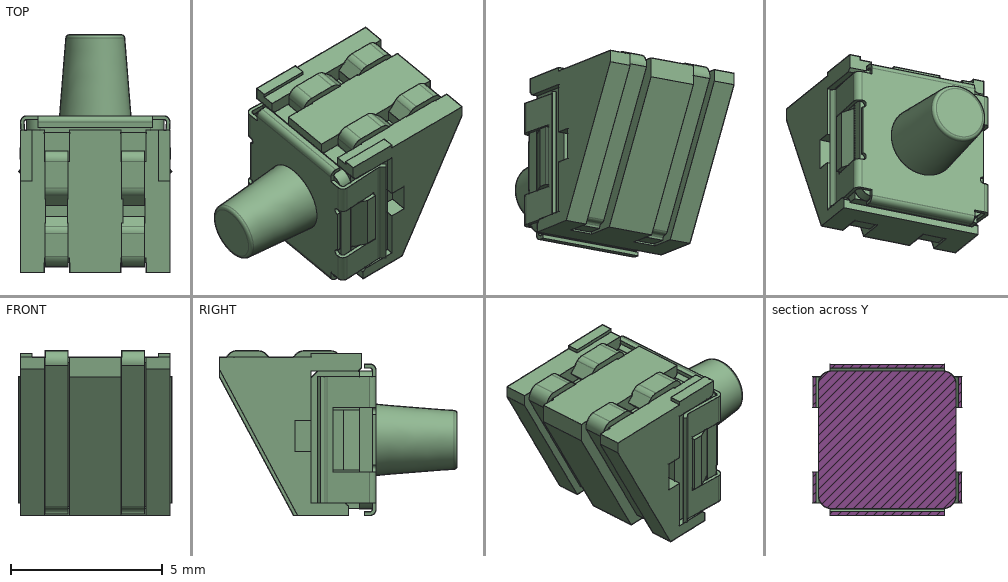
import cadquery as cq
import math


HOLDER_HALF_WIDTH = 2.47
HOLDER_BACK = -3.03
HOLDER_BOTTOM = -2.5
DECK_Z = 2.73
SEAT_TOP = 2.27
SEAT_BOTTOM = -2.085
UPPER_ARM_FRONT = 1.67
LOWER_ARM_FRONT = 1.24
ARM_CHAMFER = 0.11
RIB_SLOPE_TOP = 2.335
CENTER_SLOPE_TOP = 2.08
SLOPE_RUN_PER_RISE = 0.535
RIDGE_WIDTH = 0.385
RIDGE_HEIGHT = 0.12
NOTCH_LENGTH = 0.53
NOTCH_BOTTOM = -0.39
NOTCH_TOP = 0.635
NOTCH_DEPTH = 0.6

GROOVE_INNER = 0.845
GROOVE_OUTER = 1.68
GROOVE_FRONT_END = 0.64
GROOVE_BACK_START = -2.54
GROOVE_SLOPE_START = (-2.7, 2.55)
GROOVE_BOTTOM_END = 0.45
SLOT_INNER = 0.917
SLOT_OUTER = 1.633
SLOT_FRONT = -0.59
SLOT_BACK = -1.39
SLOT_FLOOR = 2.13

TERMINAL_WIDTH = 0.765
TERMINAL_PITCH = 2.524
TERMINAL_SHIFT = -0.012
TERMINAL_TOP = 2.94
FRONT_BUMP_TIP = 0.985
FRONT_BUMP_RADIUS = 0.34
FRONT_BUMP_FLAT_END = -0.24
BACK_BUMP_FLAT_START = -1.74
BACK_BUMP_FLAT_END = -2.5
FRONT_STRIP_END = -0.81
BACK_STRIP_END = -1.17
UNDERCUT_RUN = 0.39
STRIP_END_Z = 2.52
BEND_RUN = 0.23
BEND_DROP = 0.09
BEND_MID_RUN = 0.55
BEND_MID_DROP = 0.3
BACK_BEND_END = (-2.83, 2.46)
BACK_BEND_MID = (-2.75, 2.785)
LEG_BEND_TOP = -2.205
LEG_BOTTOM = -2.44
LEG_BEND_RISE = 0.155
LEG_BEND_RUN = 0.24
LEG_FOOT_RUN = 0.02

BODY_HALF = 2.275
BODY_FRONT = 2.02
BODY_STEP = 1.59
BODY_CORNER_RADIUS = 0.45
BASE_HALF_WIDTH = 2.25
BASE_CHAMFER = 0.21
LATCH_HALF_HEIGHT = 0.99
LATCH_RAMP_END = 1.07
LATCH_BACK = 0.715
LATCH_REACH = 2.485

SHEET = 0.13
COVER_FRONT = 2.145
COVER_HALF_HEIGHT = 2.5
CURL_END = 1.757
CURL_HALF_WIDTH = 1.895
BEND_RADIUS = 0.21
WALL_FRONT_X = 2.48
WALL_BACK_X = 2.39
FLARE_START = 0.49
FLARE_BEND_RADIUS = 0.1
FLARE_TIP_X = 2.525
FLARE_TIP_Y = 0.304
WALL_HALF_HEIGHT = 2.085
WINDOW_HALF_HEIGHT = 1.06
WINDOW_BACK = 0.715
WINDOW_PLATE_EDGE = 2.22
RELIEF_RADIUS = 0.115

BUTTON_TIP = 4.82
BUTTON_BASE_RADIUS = 1.18
BUTTON_TIP_RADIUS = 0.965
BUTTON_FILLET = 0.12


def box(x_range, y_range, z_range):
    """Axis-aligned box from its three coordinate ranges."""
    size = [high - low for low, high in (x_range, y_range, z_range)]
    corner = (x_range[0], y_range[0], z_range[0])
    return cq.Workplane("XY").box(*size, centered=False).translate(corner)


def mirrored(solid):
    """The solid together with its mirror image across X = 0."""
    return solid.union(solid.mirror("YZ"))


def slab(sketch_points, x_start, x_end):
    """Prism along X from a closed (Y, Z) outline."""
    outline = cq.Workplane("YZ", origin=(x_start, 0, 0)).polyline(sketch_points).close()
    return outline.extrude(x_end - x_start)


def slope_y(start, z):
    """Y of the sloping back through the point `start`, at height z."""
    return start[0] + (start[1] - z) * SLOPE_RUN_PER_RISE


def holder_slab(slope_top, x_start, x_end):
    """C-shaped holder section whose vertical back face ends at height slope_top."""
    slope_foot = slope_y((HOLDER_BACK, slope_top), HOLDER_BOTTOM)
    return slab(
        [
            (UPPER_ARM_FRONT, DECK_Z),
            (UPPER_ARM_FRONT, SEAT_TOP + ARM_CHAMFER),
            (UPPER_ARM_FRONT - ARM_CHAMFER, SEAT_TOP),
            (0, SEAT_TOP),
            (0, SEAT_BOTTOM),
            (LOWER_ARM_FRONT - ARM_CHAMFER, SEAT_BOTTOM),
            (LOWER_ARM_FRONT, SEAT_BOTTOM - ARM_CHAMFER),
            (LOWER_ARM_FRONT, HOLDER_BOTTOM),
            (slope_foot, HOLDER_BOTTOM),
            (HOLDER_BACK, slope_top),
            (HOLDER_BACK, DECK_Z),
        ],
        x_start,
        x_end,
    )


def grooved_slab():
    """Holder section between a side rib and the center, cut away for one terminal."""
    return slab(
        [
            (GROOVE_FRONT_END, DECK_Z),
            (GROOVE_FRONT_END, SEAT_TOP),
            (0, SEAT_TOP),
            (0, SEAT_BOTTOM),
            (LOWER_ARM_FRONT - ARM_CHAMFER, SEAT_BOTTOM),
            (LOWER_ARM_FRONT, SEAT_BOTTOM - ARM_CHAMFER),
            (LOWER_ARM_FRONT, HOLDER_BOTTOM),
            (GROOVE_BOTTOM_END, HOLDER_BOTTOM),
            (GROOVE_BOTTOM_END, LEG_BEND_TOP),
            (slope_y(GROOVE_SLOPE_START, LEG_BEND_TOP), LEG_BEND_TOP),
            GROOVE_SLOPE_START,
            (GROOVE_BACK_START, DECK_Z),
        ],
        GROOVE_INNER,
        GROOVE_OUTER,
    )


def make_holder():
    center = holder_slab(CENTER_SLOPE_TOP, -GROOVE_INNER, GROOVE_INNER)
    rib = holder_slab(RIB_SLOPE_TOP, GROOVE_OUTER, HOLDER_HALF_WIDTH)
    ridge = box(
        (HOLDER_HALF_WIDTH - RIDGE_WIDTH, HOLDER_HALF_WIDTH),
        (0, UPPER_ARM_FRONT),
        (DECK_Z, DECK_Z + RIDGE_HEIGHT),
    )
    slot = slab(
        [
            (SLOT_FRONT, DECK_Z),
            (SLOT_FRONT, STRIP_END_Z),
            (FRONT_STRIP_END + UNDERCUT_RUN, SLOT_FLOOR),
            (SLOT_BACK, SLOT_FLOOR),
            (SLOT_BACK, DECK_Z),
        ],
        SLOT_INNER,
        SLOT_OUTER,
    )
    notch = box(
        (HOLDER_HALF_WIDTH - NOTCH_DEPTH, HOLDER_HALF_WIDTH),
        (-NOTCH_LENGTH, 0),
        (NOTCH_BOTTOM, NOTCH_TOP),
    )
    side = rib.union(ridge).cut(notch).union(grooved_slab().cut(slot))
    return center.union(mirrored(side))


def bend_midpoint(start, end):
    """Point of a shallow bend between a flat top at `start` and a falling slope at `end`."""
    run = end[0] - start[0]
    drop = start[1] - end[1]
    return (start[0] + BEND_MID_RUN * run, start[1] - BEND_MID_DROP * drop)


def make_terminal(x_center):
    """Strip with two contact bumps on the deck and a leg down the sloping back."""
    bump_start = FRONT_BUMP_TIP - FRONT_BUMP_RADIUS
    arc_offset = FRONT_BUMP_RADIUS * (1 - math.sqrt(0.5))
    bend_z = TERMINAL_TOP - BEND_DROP
    front_flat_end = (FRONT_BUMP_FLAT_END, TERMINAL_TOP)
    front_bend_end = (FRONT_BUMP_FLAT_END - BEND_RUN, bend_z)
    back_flat_start = (BACK_BUMP_FLAT_START, TERMINAL_TOP)
    back_bend_start = (BACK_BUMP_FLAT_START + BEND_RUN, bend_z)
    leg_bend_start = (slope_y(BACK_BEND_END, LEG_BEND_TOP), LEG_BEND_TOP)
    leg_bend_end = (leg_bend_start[0] + LEG_BEND_RUN, LEG_BEND_TOP - LEG_BEND_RISE)
    leg_bend_mid = (leg_bend_start[0] + LEG_BEND_RUN / 2, LEG_BEND_TOP - LEG_BEND_RISE / 2)
    outline = (
        cq.Workplane("YZ", origin=(x_center - TERMINAL_WIDTH / 2, 0, 0))
        .moveTo(FRONT_BUMP_TIP, SEAT_TOP)
        .lineTo(FRONT_BUMP_TIP, TERMINAL_TOP - FRONT_BUMP_RADIUS)
        .threePointArc((FRONT_BUMP_TIP - arc_offset, TERMINAL_TOP - arc_offset), (bump_start, TERMINAL_TOP))
        .lineTo(*front_flat_end)
        .threePointArc(bend_midpoint(front_flat_end, front_bend_end), front_bend_end)
        .lineTo(FRONT_STRIP_END, STRIP_END_Z)
        .lineTo(FRONT_STRIP_END + UNDERCUT_RUN, SLOT_FLOOR)
        .lineTo(BACK_STRIP_END, SLOT_FLOOR)
        .lineTo(BACK_STRIP_END, STRIP_END_Z)
        .lineTo(*back_bend_start)
        .threePointArc(bend_midpoint(back_flat_start, back_bend_start), back_flat_start)
        .lineTo(BACK_BUMP_FLAT_END, TERMINAL_TOP)
        .threePointArc(BACK_BEND_MID, BACK_BEND_END)
        .lineTo(*leg_bend_start)
        .tangentArcPoint(leg_bend_mid, relative=False)
        .tangentArcPoint(leg_bend_end, relative=False)
        .lineTo(leg_bend_end[0] + LEG_FOOT_RUN, LEG_BOTTOM)
        .lineTo(GROOVE_BOTTOM_END, LEG_BOTTOM)
        .lineTo(GROOVE_BOTTOM_END, SEAT_BOTTOM)
        .lineTo(0, SEAT_BOTTOM)
        .lineTo(0, SEAT_TOP)
        .close()
    )
    return outline.extrude(TERMINAL_WIDTH)


def make_latch():
    """Ramped catch that fills the window of the cover on the +X side."""
    outline = [
        (0, BODY_STEP),
        (BASE_HALF_WIDTH, BODY_STEP),
        (LATCH_REACH, LATCH_RAMP_END),
        (LATCH_REACH, LATCH_BACK),
        (0, LATCH_BACK),
    ]
    base = cq.Workplane("XY", origin=(0, 0, -LATCH_HALF_HEIGHT)).polyline(outline).close()
    return base.extrude(2 * LATCH_HALF_HEIGHT)


def make_body():
    front = box((-BODY_HALF, BODY_HALF), (BODY_STEP, BODY_FRONT), (-BODY_HALF, BODY_HALF))
    front = front.edges("|Y").fillet(BODY_CORNER_RADIUS)
    base = box((-BASE_HALF_WIDTH, BASE_HALF_WIDTH), (0, BODY_STEP), (-SEAT_TOP, SEAT_TOP))
    base = base.edges("<Y and >Z").chamfer(BASE_CHAMFER)
    return front.union(base).union(mirrored(make_latch()))


def make_curled_plate():
    """Front plate with its top and bottom edges curled back."""
    inner_half = COVER_HALF_HEIGHT - SHEET
    half_width = (-CURL_HALF_WIDTH, CURL_HALF_WIDTH)
    outer = box(half_width, (CURL_END, COVER_FRONT), (-COVER_HALF_HEIGHT, COVER_HALF_HEIGHT))
    inner = box(half_width, (CURL_END, COVER_FRONT - SHEET), (-inner_half, inner_half))
    outer = outer.edges("|X and >Y").fillet(BEND_RADIUS)
    inner = inner.edges("|X and >Y").fillet(BEND_RADIUS - SHEET)
    return outer.cut(inner)


def make_side_wall():
    """+X half of the front plate with its flared, inward-leaning, windowed side wall."""
    flare_end = SHEET * math.sqrt(0.5)
    plate_back = COVER_FRONT - SHEET
    outline = [
        (0, COVER_FRONT),
        (WALL_FRONT_X, COVER_FRONT),
        (WALL_BACK_X, FLARE_START),
        (FLARE_TIP_X, FLARE_TIP_Y),
        (FLARE_TIP_X - flare_end, FLARE_TIP_Y - flare_end),
        (WALL_BACK_X - SHEET, FLARE_START - SHEET / 2),
        (WALL_FRONT_X - SHEET, plate_back),
        (0, plate_back),
    ]
    wall = cq.Workplane("XY", origin=(0, 0, -WALL_HALF_HEIGHT)).polyline(outline).close()
    wall = wall.extrude(2 * WALL_HALF_HEIGHT)
    wall = wall.edges(cq.NearestToPointSelector((WALL_FRONT_X, COVER_FRONT, 0))).fillet(BEND_RADIUS)
    flare_bend = (WALL_BACK_X, FLARE_START, 0)
    wall = wall.edges(cq.NearestToPointSelector(flare_bend)).fillet(FLARE_BEND_RADIUS)
    inner_corner = (WALL_FRONT_X - SHEET, plate_back, 0)
    wall = wall.edges(cq.NearestToPointSelector(inner_corner)).fillet(BEND_RADIUS - SHEET)
    window = box(
        (WINDOW_PLATE_EDGE, FLARE_TIP_X),
        (WINDOW_BACK, COVER_FRONT),
        (-WINDOW_HALF_HEIGHT, WINDOW_HALF_HEIGHT),
    )
    relief_z = WINDOW_HALF_HEIGHT - RELIEF_RADIUS
    reliefs = (
        cq.Workplane("XZ", origin=(0, COVER_FRONT, 0))
        .pushPoints([(WINDOW_PLATE_EDGE, -relief_z), (WINDOW_PLATE_EDGE, relief_z)])
        .circle(RELIEF_RADIUS)
        .extrude(SHEET)
    )
    return wall.cut(window).cut(reliefs)


def make_button():
    profile = [
        (0, BODY_FRONT),
        (BUTTON_BASE_RADIUS, BODY_FRONT),
        (BUTTON_BASE_RADIUS, COVER_FRONT),
        (BUTTON_TIP_RADIUS, BUTTON_TIP),
        (0, BUTTON_TIP),
    ]
    button = cq.Workplane("XY").polyline(profile).close().revolve(360, (0, 0, 0), (0, 1, 0))
    return button.edges(">Y").fillet(BUTTON_FILLET)


result = make_holder()
for side in (-1, 1):
    result = result.union(make_terminal(side * TERMINAL_PITCH / 2 + TERMINAL_SHIFT))
result = result.union(make_body())
result = result.union(make_curled_plate()).union(mirrored(make_side_wall()))
result = result.union(make_button())